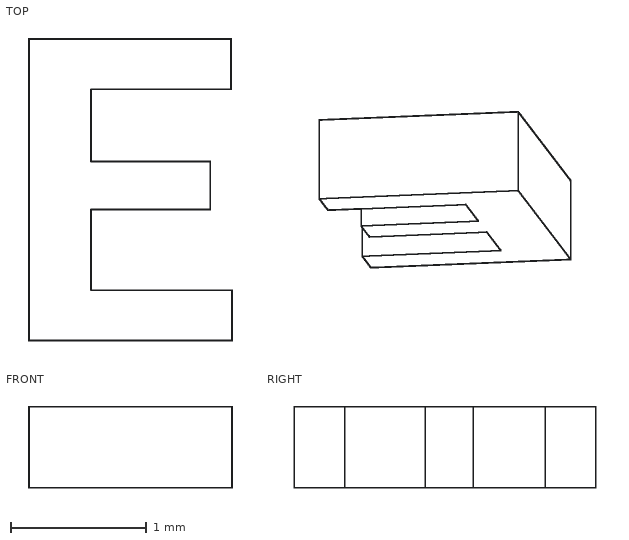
import cadquery as cq

height = 2.23
thickness = 0.6

spine_width = 0.46

bottom_arm_reach = 1.5
middle_arm_reach = 1.34
top_arm_reach = 1.495
outer_arm_width = 0.372
middle_arm_width = 0.357
middle_arm_start = 0.968


def block(reach, start, width):
    """Full-thickness bar from the spine's outer face, starting at Y = start."""
    return cq.Workplane("XY").box(reach, width, thickness, centered=False).translate((0, start, 0))


spine = block(spine_width, 0, height)
arms = [
    (bottom_arm_reach, 0, outer_arm_width),
    (middle_arm_reach, middle_arm_start, middle_arm_width),
    (top_arm_reach, height - outer_arm_width, outer_arm_width),
]

result = spine
for reach, start, width in arms:
    result = result.union(block(reach, start, width))
result = result.clean()